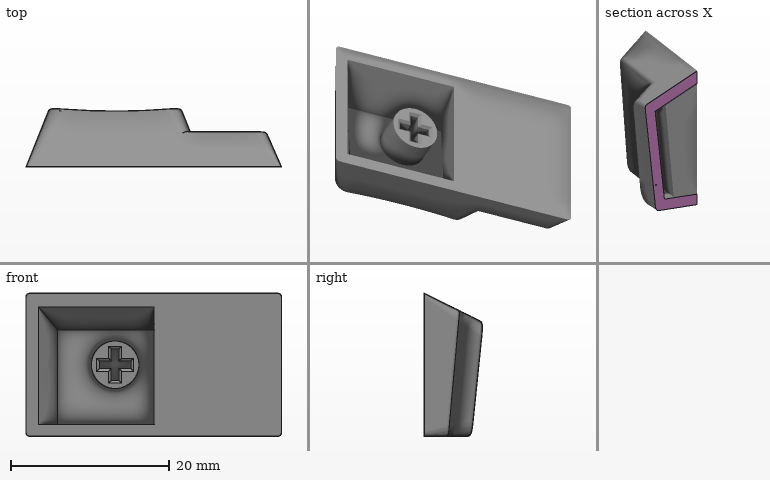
import cadquery as cq

length = 32.3
height = 18.1
left, right = -length / 2, length / 2
bottom, top = -height / 2, height / 2

stem_x = -4.88
key_half_width = stem_x - left
loft_depth = 8.4
side_taper = 0.4
end_taper = 0.44
top_taper = 0.496
front_corner_radius = 0.5
top_radius_growth = 0.18
bottom_radius_growth = 0.24

keytop_slope = 0.106
keytop_depth = 6.98
dish_radius = 80.75
top_edge_fillet = 0.52

step_slope = 0.09
step_depth = 3.88
slab_start_x = stem_x

cavity_half_width = 9.7
cavity_top = 7.3
cavity_bottom = -7.55
cavity_floor_half_width = 7.3
cavity_floor_top = 4.43
cavity_floor_depth = 5.3
cavity_mouth_right = 0.03

stem_diameter = 6.0
stem_front = 0.9
stem_overlap = 0.4
cross_span = 4.0
cross_width = 1.0
cross_chamfer = 0.32
cross_depth = 3.23

cutter_size = 4 * length


def rounded_section(x_min, x_max, z_max, depth):
    top_radius = front_corner_radius + top_radius_growth * depth
    bottom_radius = front_corner_radius + bottom_radius_growth * depth
    return (
        cq.Sketch()
        .push([((x_min + x_max) / 2, (bottom + z_max) / 2)])
        .rect(x_max - x_min, z_max - bottom)
        .reset()
        .vertices(">Y")
        .fillet(top_radius)
        .reset()
        .vertices("<Y")
        .fillet(bottom_radius)
    )


def flatten_sides(loft):
    """Replace flat faces of a ruled loft by true planes, so that coplanar walls merge."""
    faces = []
    for face in loft.faces().vals():
        is_flat = all(edge.geomType() != "CIRCLE" for edge in face.Edges())
        faces.append(cq.Face.makeFromWires(face.outerWire()) if is_flat else face)
    return cq.Workplane(cq.Solid.makeSolid(cq.Shell.makeShell(faces)))


def tapered_block(x_min, x_max, left_taper, right_taper):
    """Loft towards +Y with a straight bottom and tapered top and ends."""
    front = rounded_section(x_min, x_max, top, 0)
    back = rounded_section(
        x_min + left_taper * loft_depth,
        x_max - right_taper * loft_depth,
        top - top_taper * loft_depth,
        loft_depth,
    )
    loft = (
        cq.Workplane("XZ")
        .placeSketch(front, back.moved(cq.Location(cq.Vector(0, 0, -loft_depth))))
        .loft(ruled=True)
    )
    return flatten_sides(loft)


def raised_key():
    block = tapered_block(left, stem_x + key_half_width, side_taper, side_taper)
    axis_plane = cq.Plane(
        origin=(stem_x, keytop_depth + dish_radius, 0), xDir=(1, 0, 0), normal=(0, keytop_slope, 1)
    )
    dish = cq.Workplane(axis_plane).circle(dish_radius).extrude(length, both=True)
    return block.cut(dish).faces(">Y").edges().fillet(top_edge_fillet)


def behind_step():
    """Everything on the +Y side of the step surface."""
    step_plane = cq.Plane(origin=(0, step_depth, 0), xDir=(-1, 0, 0), normal=(0, 1, -step_slope))
    return cq.Workplane(step_plane).rect(cutter_size, cutter_size).extrude(length)


def step_slab():
    block = tapered_block(slab_start_x, right, 0, end_taper).cut(behind_step())
    return block.faces(">Y").edges().fillet(top_edge_fillet)


def cavity():
    def outline(half_width, z_max, depth, slope):
        corners = [(-1, cavity_bottom), (1, cavity_bottom), (1, z_max), (-1, z_max)]
        points = [cq.Vector(stem_x + side * half_width, depth + slope * z, z) for side, z in corners]
        return cq.Wire.makePolygon(points, close=True)

    mouth = outline(cavity_half_width, cavity_top, 0, 0)
    floor = outline(cavity_floor_half_width, cavity_floor_top, cavity_floor_depth, keytop_slope)
    hollow = cq.Workplane(cq.Solid.makeLoft([mouth, floor], True))
    slab_zone = (
        cq.Workplane("XY")
        .box(cutter_size, cutter_size, cutter_size, centered=(False, True, True))
        .translate((cavity_mouth_right, 0, 0))
        .cut(behind_step())
    )
    return hollow.cut(slab_zone)


def cross(margin):
    """Plus-shaped outline, widened by margin on every side."""
    span = cross_span + 2 * margin
    width = cross_width + 2 * margin
    return cq.Sketch().rect(span, width).rect(width, span).clean()


def stem():
    length_into_key = cavity_floor_depth + stem_overlap - stem_front
    face = cq.Workplane("XZ", origin=(stem_x, stem_front, 0))
    post = face.circle(stem_diameter / 2).extrude(-length_into_key)
    socket = face.placeSketch(cross(0)).extrude(-cross_depth)
    chamfer_end = cross(0).moved(cq.Location(cq.Vector(0, 0, -cross_chamfer)))
    lead_in = face.placeSketch(cross(cross_chamfer), chamfer_end).loft(ruled=True)
    return post.cut(socket).cut(lead_in)


result = raised_key().union(step_slab()).cut(cavity()).union(stem())